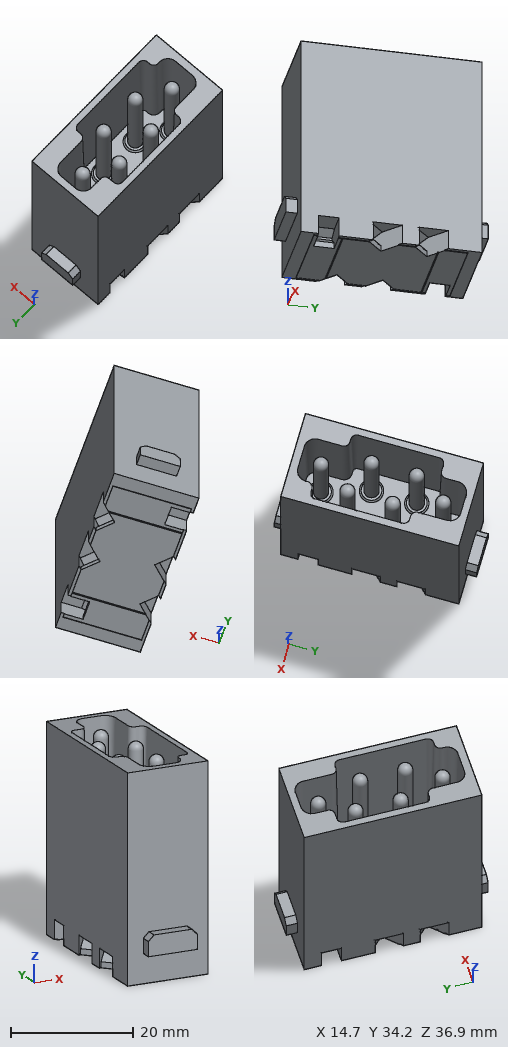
import cadquery as cq
import math

body_width = 14.65
total_length = 34.2
total_height = 36.9
lug_reach = 1.92
pad_height = 0.15
body_length = total_length - 2 * lug_reach
body_height = total_height - pad_height

front_lug_width = 8.93
back_lug_width = 6.9
lug_bottom = 5.4
lug_height = 3.6
lug_chamfer = 1.0

pad_width = 13.58
middle_pad_length = 16.1
pad_gap = 0.15
pads_end = 12.9

pocket_depth = 19.93
pocket_draft = 1.0
pocket_half_width = 6.15
neck_half_width = 3.7
key_side = -3.1
pocket_back = 13.95
pocket_front = -13.8
back_left_step = 8.95
back_right_step = 6.2
front_left_step = -6.83
front_right_step = -10.63
neck_radius = 1.85
step_radius = 1.0
pocket_floor = total_height - pocket_depth

pin_diameter = 2.5
pin_top = 35.7
collar_diameter = 4.0
collar_chamfer = 0.3
end_pin = (0.35, 10.5)
outer_pin = (-2.85, 5.1)
inner_pin = (-2.85, -2.62)

slot_width = 3.45
slot_top = 3.6
slot_sill_height = 1.07
slot_nose_bottom = 2.5
slot_nose_top = 2.9
sill_to_pin = 3.87
nose_to_pin = 2.3
roof_to_pin = 4.15
diagonal = 45.0
slot_run = body_width


def make_body():
    """Plain block, held above the base plane by the pads."""
    return (
        cq.Workplane("XY")
        .workplane(offset=pad_height)
        .rect(body_width, body_length)
        .extrude(body_height)
    )


def make_lug(width, side):
    """Latch lug with chamfered upper corners; side is -1 for -Y and +1 for +Y."""
    center_y = side * (body_length + lug_reach) / 2
    return (
        cq.Workplane("XY", origin=(0, center_y, lug_bottom))
        .rect(width, lug_reach)
        .extrude(lug_height)
        .edges("|Y and >Z")
        .chamfer(lug_chamfer)
    )


def make_pads():
    """One middle pad and two end pads, with narrow gaps between them."""
    end_pad_start = middle_pad_length / 2 + pad_gap
    end_pad_length = pads_end - end_pad_start
    end_pad_center = (pads_end + end_pad_start) / 2
    middle_pad = cq.Workplane("XY").rect(pad_width, middle_pad_length).extrude(pad_height)
    end_pads = (
        cq.Workplane("XY")
        .pushPoints([(0, end_pad_center), (0, -end_pad_center)])
        .rect(pad_width, end_pad_length)
        .extrude(pad_height)
    )
    return middle_pad.union(end_pads)


def make_pocket():
    """Stepped outline at the rim, drafted inwards down to the pocket floor."""
    corners = [
        (key_side, pocket_back),
        (neck_half_width, pocket_back),
        (neck_half_width, back_right_step),
        (pocket_half_width, back_right_step),
        (pocket_half_width, front_right_step),
        (neck_half_width, front_right_step),
        (neck_half_width, pocket_front),
        (-neck_half_width, pocket_front),
        (-neck_half_width, front_left_step),
        (-pocket_half_width, front_left_step),
        (-pocket_half_width, back_left_step),
        (key_side, back_left_step),
    ]
    outline = (
        cq.Sketch()
        .polygon(corners + corners[:1])
        .vertices("not (>Y or <Y)")
        .fillet(step_radius)
        .reset()
        .vertices(">Y or <Y")
        .fillet(neck_radius)
    )
    return (
        cq.Workplane("XY", origin=(0, 0, total_height))
        .placeSketch(outline)
        .extrude(-pocket_depth, taper=pocket_draft)
    )


def make_pin(x, y):
    """Round-ended pin standing on a conical collar, as one turned profile."""
    pin_radius = pin_diameter / 2
    collar_radius = collar_diameter / 2
    collar_top = pocket_floor + collar_chamfer
    dome_start = pin_top - pin_radius
    dome_middle = pin_radius * math.sqrt(0.5)
    root = pocket_floor - collar_chamfer
    return (
        cq.Workplane("XZ")
        .moveTo(0, root)
        .lineTo(collar_radius, root)
        .lineTo(collar_radius, pocket_floor)
        .lineTo(collar_radius - collar_chamfer, collar_top)
        .lineTo(pin_radius, collar_top)
        .lineTo(pin_radius, dome_start)
        .threePointArc((dome_middle, dome_start + dome_middle), (0, pin_top))
        .close()
        .revolve(360, (0, 0, 0), (0, 1, 0))
        .translate((x, y, 0))
    )


def make_slot(x, y, angle):
    """Slot ending short of the pin at (x, y); angle is its inward direction from +X."""
    return (
        cq.Workplane("XZ")
        .moveTo(-slot_run, 0)
        .lineTo(-sill_to_pin, 0)
        .lineTo(-sill_to_pin, slot_sill_height)
        .lineTo(-nose_to_pin, slot_nose_bottom)
        .lineTo(-nose_to_pin, slot_nose_top)
        .lineTo(-roof_to_pin, slot_top)
        .lineTo(-slot_run, slot_top)
        .close()
        .extrude(slot_width / 2, both=True)
        .rotate((0, 0, 0), (0, 0, 1), angle)
        .translate((x, y, 0))
    )


result = make_body().union(make_pads())
result = result.union(make_lug(front_lug_width, -1)).union(make_lug(back_lug_width, 1))
result = result.cut(make_pocket())

slots_by_pin = ((end_pin, 0), (outer_pin, diagonal), (inner_pin, diagonal))
for (pin_x, pin_y), slot_angle in slots_by_pin:
    for side, half_turn in ((1, 0), (-1, 180)):
        x = side * pin_x
        y = side * pin_y
        result = result.cut(make_slot(x, y, slot_angle + half_turn))
        result = result.union(make_pin(x, y))